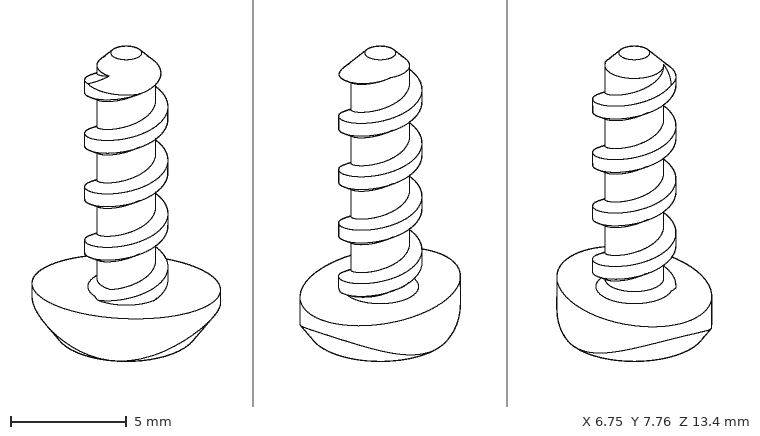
import cadquery as cq
import math

total_length = 13.39

head_height = 2.09
head_major_radius = 4.11
head_minor_radius = 3.09
head_angle = 60.0
head_base_radius = 3.08
head_cone_angle = 35.5

core_radius = 1.27
tip_radius = 0.67
collar_height = 0.39

crest_radius = 1.81
pitch = 2.58
crest_width = 0.62
flank_angle = 30.0
thread_start_z = 0.94
thread_turns = 5
root_overlap = 0.13


def make_head():
    blank = (
        cq.Workplane("XY")
        .ellipse(head_major_radius, head_minor_radius)
        .extrude(head_height)
        .rotate((0, 0, 0), (0, 0, 1), head_angle)
    )
    cone_top_radius = head_base_radius + head_height * math.tan(math.radians(head_cone_angle))
    cone = cq.Workplane("XY").circle(head_base_radius).workplane(offset=head_height)
    cone = cone.circle(cone_top_radius).loft(ruled=True)
    return blank.intersect(cone)


def make_collar():
    """Cone that widens the core where it meets the head."""
    return (
        cq.Workplane("XZ")
        .moveTo(0, 0)
        .lineTo(core_radius, 0)
        .lineTo(core_radius, head_height)
        .lineTo(core_radius + collar_height, head_height)
        .lineTo(core_radius, head_height + collar_height)
        .lineTo(0, head_height + collar_height)
        .close()
        .revolve(360, (0, 0), (0, 1))
    )


def make_tip_envelope():
    """Solid that trims the core and the thread to the same tip cone."""
    outer_radius = crest_radius + root_overlap
    return (
        cq.Workplane("XZ")
        .moveTo(0, 0)
        .lineTo(outer_radius, 0)
        .lineTo(outer_radius, total_length - outer_radius + tip_radius)
        .lineTo(tip_radius, total_length)
        .lineTo(0, total_length)
        .close()
        .revolve(360, (0, 0), (0, 1))
    )


def make_thread():
    root_radius = core_radius - root_overlap
    half_crest = crest_width / 2
    half_root = half_crest + (crest_radius - root_radius) * math.tan(math.radians(flank_angle))
    helix = cq.Wire.makeHelix(pitch, pitch * thread_turns, core_radius)
    return (
        cq.Workplane("XZ")
        .polyline([
            (root_radius, -half_root),
            (crest_radius, -half_crest),
            (crest_radius, half_crest),
            (root_radius, half_root),
        ])
        .close()
        .sweep(cq.Workplane(helix), isFrenet=True)
        .rotate((0, 0, 0), (0, 0, 1), 180)
        .translate((0, 0, thread_start_z))
    )


def make_shank():
    core = cq.Workplane("XY").circle(core_radius).extrude(total_length + pitch)
    return core.union(make_thread()).intersect(make_tip_envelope())


result = make_head().union(make_shank()).union(make_collar())